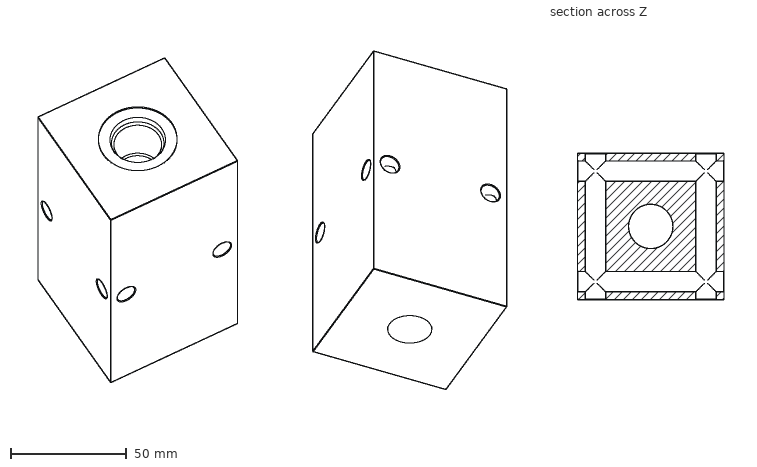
import cadquery as cq

height = 120.6
width = 63.5
edge_chamfer = 0.2

spotface_diameter = 34.0
spotface_depth = 0.8
port_mouth_diameter = 24.0
port_throat_diameter = 22.7
port_mouth_depth = 2.4
thread_diameter = 20.6
thread_lead_in = (port_throat_diameter - thread_diameter) / 2
thread_depth = 24.1
bore_diameter = 19.1
bore_lead_in = (thread_diameter - bore_diameter) / 2

cross_hole_diameter = 8.7
cross_hole_mouth_diameter = 9.4
cross_hole_chamfer = (cross_hole_mouth_diameter - cross_hole_diameter) / 2
cross_hole_offset = 23.9


def make_block():
    return cq.Workplane("XY").box(width, width, height).edges().chamfer(edge_chamfer)


def make_port():
    """Half profile of the port and its through bore, revolved about Z."""
    top = height / 2
    spotface_floor = top - spotface_depth
    mouth_floor = spotface_floor - port_mouth_depth
    thread_top = mouth_floor - thread_lead_in
    thread_floor = spotface_floor - thread_depth
    bore_top = thread_floor - bore_lead_in
    return (
        cq.Workplane("XZ")
        .moveTo(0, top)
        .lineTo(spotface_diameter / 2, top)
        .lineTo(spotface_diameter / 2, spotface_floor)
        .lineTo(port_mouth_diameter / 2, spotface_floor)
        .lineTo(port_throat_diameter / 2, mouth_floor)
        .lineTo(thread_diameter / 2, thread_top)
        .lineTo(thread_diameter / 2, thread_floor)
        .lineTo(bore_diameter / 2, bore_top)
        .lineTo(bore_diameter / 2, -top)
        .lineTo(0, -top)
        .close()
        .revolve(360, (0, 0, 0), (0, 1, 0))
    )


def make_cross_hole():
    """Through hole along Y with a 45 degree chamfer at both ends."""
    end = width / 2
    chamfer_start = end - cross_hole_chamfer
    hole_radius = cross_hole_diameter / 2
    mouth_radius = cross_hole_mouth_diameter / 2
    return (
        cq.Workplane("XY")
        .moveTo(0, -end)
        .lineTo(mouth_radius, -end)
        .lineTo(hole_radius, -chamfer_start)
        .lineTo(hole_radius, chamfer_start)
        .lineTo(mouth_radius, end)
        .lineTo(0, end)
        .close()
        .revolve(360, (0, 0, 0), (0, 1, 0))
    )


result = make_block().cut(make_port())
cross_hole = make_cross_hole()
for side in (-1, 1):
    along_y = cross_hole.translate((side * cross_hole_offset, 0, 0))
    along_x = along_y.rotate((0, 0, 0), (0, 0, 1), 90)
    result = result.cut(along_y).cut(along_x)